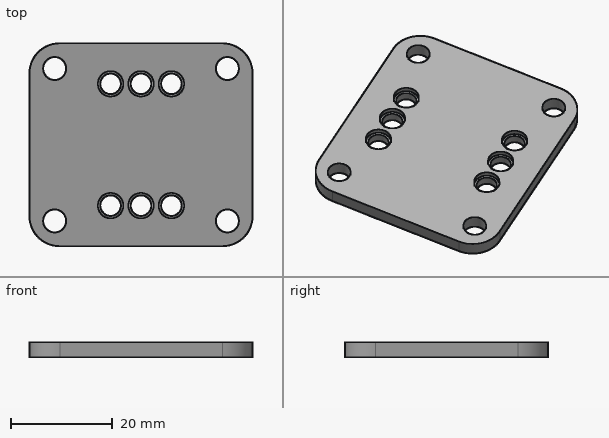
import cadquery as cq

length = 44.0
width = 40.0
thickness = 3.0
corner_radius = 6.0

mount_spacing_x = 34.0
mount_spacing_y = 30.0
mount_diameter = 4.5

row_count = 2
holes_per_row = 3
row_spacing = 24.0
hole_pitch = 6.0
hole_diameter = 4.0
counterbore_diameter = 5.0
counterbore_depth = 1.0


def make_plate():
    """Flat plate with rounded corners, resting on Z = 0."""
    plate = cq.Workplane("XY").box(length, width, thickness, centered=(True, True, False))
    return plate.edges("|Z").fillet(corner_radius)


def cut_mounting_holes(plate):
    """Plain through hole near each corner."""
    centers = plate.faces(">Z").workplane().rect(mount_spacing_x, mount_spacing_y, forConstruction=True)
    return centers.vertices().hole(mount_diameter)


def cut_counterbored_rows(plate):
    """Through holes counterbored from the top face."""
    centers = plate.faces(">Z").workplane().rarray(hole_pitch, row_spacing, holes_per_row, row_count)
    return centers.cboreHole(hole_diameter, counterbore_diameter, counterbore_depth)


result = cut_counterbored_rows(cut_mounting_holes(make_plate()))